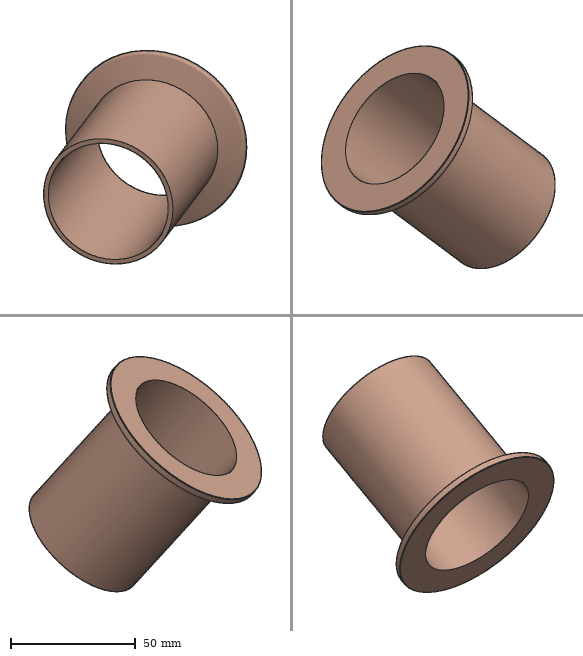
import cadquery as cq
import math

flange_diameter = 75.0
tube_outer_diameter = 54.0
bore_diameter = 50.0
length = 70.0

cone_angle = 15.0
rim_thickness = 3.0
rim_fillet = 1.0
face_edge_chamfer = 0.2

flange_radius = flange_diameter / 2
tube_radius = tube_outer_diameter / 2
bore_radius = bore_diameter / 2

sealing_face_y = length / 2
tube_end_y = -length / 2
rim_back_y = sealing_face_y - rim_thickness
cone_depth = (flange_radius - tube_radius) * math.tan(math.radians(cone_angle))
cone_foot_y = rim_back_y - cone_depth

body = (
    cq.Workplane("XY")
    .moveTo(bore_radius, tube_end_y)
    .lineTo(tube_radius, tube_end_y)
    .lineTo(tube_radius, cone_foot_y)
    .lineTo(flange_radius, rim_back_y)
    .lineTo(flange_radius, sealing_face_y)
    .lineTo(bore_radius, sealing_face_y)
    .close()
    .revolve(360, (0, 0, 0), (0, 1, 0))
)


def rim_edge(y):
    """Selector for the circular flange edge at height y along the axis."""
    margin = 0.1
    reach = flange_radius + margin
    return cq.selectors.BoxSelector(
        (-reach, y - margin, -reach), (reach, y + margin, reach), boundingbox=True
    )


body = body.edges(rim_edge(rim_back_y)).fillet(rim_fillet)

result = body.faces(">Y").edges(cq.selectors.RadiusNthSelector(-1)).chamfer(face_edge_chamfer)